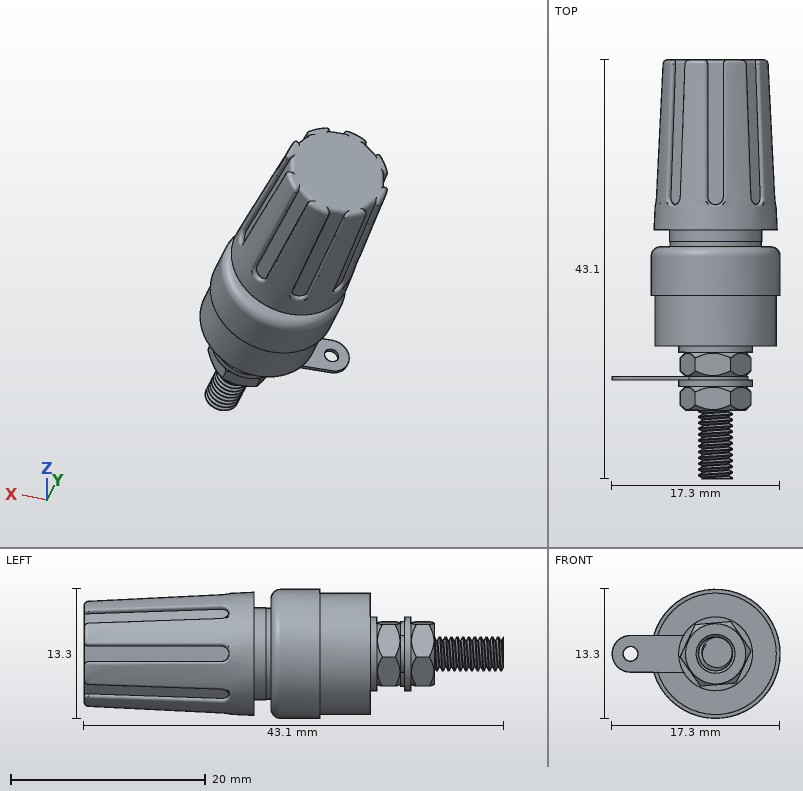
import cadquery as cq
import math


total_length = 43.13
total_width = 17.3
knob_length = 17.5
neck_length = 1.2
shoulder_length = 0.53
housing_length = 5.04
insulator_length = 5.2
washer_thickness = 0.65
nut_height = 2.45
lug_thickness = 0.4

housing_diameter = 13.3
housing_fillet = 1.0
insulator_diameter = 12.5
neck_diameter = 9.5
shoulder_diameter = 9.4
washer_diameter = 7.6

knob_base_diameter = 12.7
knob_end_diameter = 11.0
knob_end_fillet = 0.45
flute_count = 8
flute_width = 1.6
flute_depth = 0.5
flute_rim_fillet = 0.25
flute_center_from_end = 14.1
flute_overrun = 1.0

nut_across_flats = 6.35
nut_face_diameter = 6.2
nut_rotation = 5
nut_chamfer_angle = 45
nut_countersink_diameter = 4.0

lug_ring_diameter = 6.7
lug_tail_width = 3.8
lug_reach = total_width - housing_diameter / 2
lug_hole_diameter = 1.5

stud_diameter = 3.5
thread_root_diameter = 2.73
thread_pitch = 0.6
thread_crest_width = 0.1
thread_root_width = 0.1
thread_cut_clearance = 0.1
thread_start_angle = -45

housing_top = housing_length
shoulder_top = housing_top + shoulder_length
knob_base = shoulder_top + neck_length
knob_end = knob_base + knob_length
insulator_end = -insulator_length
first_nut_top = insulator_end - washer_thickness
lug_top = first_nut_top - nut_height
second_washer_top = lug_top - lug_thickness
second_nut_top = second_washer_top - washer_thickness
thread_start = second_nut_top - nut_height
stud_end = knob_end - total_length


def disc(diameter, y_low, y_high):
    """Solid cylinder on the Y axis."""
    plane = cq.Workplane("XZ", origin=(0, y_low, 0))
    return plane.circle(diameter / 2).extrude(y_low - y_high)


def ring(diameter, y_low, y_high):
    """Cylinder on the Y axis with a bore that fits the stud."""
    return disc(diameter, y_low, y_high).cut(disc(stud_diameter, y_low, y_high))


def make_flute_cutter():
    """Round-bottomed slot with straight walls, sunk into the cone on its +Z side."""
    taper_per_length = (knob_base_diameter - knob_end_diameter) / 2 / knob_length
    center_y = knob_end - flute_center_from_end
    center_radius = knob_end_diameter / 2 + taper_per_length * flute_center_from_end
    surface = cq.Plane(
        origin=(0, center_y, center_radius),
        xDir=(1, 0, 0),
        normal=(0, taper_per_length, 1),
    )
    half_width = flute_width / 2
    open_end = flute_center_from_end + flute_overrun
    return (
        cq.Workplane(surface)
        .moveTo(-half_width, open_end)
        .lineTo(-half_width, 0)
        .threePointArc((0, -half_width), (half_width, 0))
        .lineTo(half_width, open_end)
        .close()
        .extrude(-flute_depth)
    )


def make_knob():
    """Tapered grip with flutes that run out at its free end, all their rims rounded."""
    knob = (
        cq.Workplane("XY")
        .moveTo(0, knob_base)
        .lineTo(knob_base_diameter / 2, knob_base)
        .lineTo(knob_end_diameter / 2, knob_end)
        .lineTo(0, knob_end)
        .close()
        .revolve(360, (0, 0, 0), (0, 1, 0))
    )
    cutter = make_flute_cutter()
    for index in range(flute_count):
        angle = index * 360 / flute_count
        knob = knob.cut(cutter.rotate((0, 0, 0), (0, 1, 0), angle))
    flute_bottom = knob_end - flute_center_from_end - flute_width / 2
    flute_zone = cq.selectors.BoxSelector(
        (-knob_base_diameter, flute_bottom, -knob_base_diameter),
        (knob_base_diameter, knob_end - knob_end_fillet, knob_base_diameter),
    )
    knob = knob.faces("%CONE").edges(flute_zone).fillet(flute_rim_fillet)
    return knob.faces(">Y").edges().fillet(knob_end_fillet)


def make_collar():
    """Neck under the knob, with a slightly smaller shoulder that sits on the housing."""
    neck = ring(neck_diameter, shoulder_top, knob_base)
    return neck.union(ring(shoulder_diameter, housing_top, shoulder_top))


def make_housing():
    """Upper insulating body with a rounded rim."""
    body = disc(housing_diameter, 0, housing_top).faces(">Y").edges().fillet(housing_fillet)
    return body.cut(disc(stud_diameter, 0, housing_top))


def make_nut(y_top):
    """Hex nut with chamfered corners and a countersink on its lower face."""
    y_low = y_top - nut_height
    corner_radius = nut_across_flats / math.sqrt(3)
    hexagon = (
        cq.Workplane("XZ", origin=(0, y_low, 0))
        .polygon(6, 2 * corner_radius)
        .extrude(-nut_height)
        .rotate((0, 0, 0), (0, 1, 0), -nut_rotation)
    )
    face_radius = nut_face_diameter / 2
    chamfer_width = corner_radius - face_radius
    chamfer_height = chamfer_width * math.tan(math.radians(nut_chamfer_angle))
    envelope = (
        cq.Workplane("XY")
        .moveTo(0, y_low)
        .lineTo(face_radius, y_low)
        .lineTo(corner_radius, y_low + chamfer_height)
        .lineTo(corner_radius, y_top - chamfer_height)
        .lineTo(face_radius, y_top)
        .lineTo(0, y_top)
        .close()
        .revolve(360, (0, 0, 0), (0, 1, 0))
    )
    countersink_depth = (nut_countersink_diameter - stud_diameter) / 2
    nut = hexagon.intersect(envelope).cut(disc(stud_diameter, y_low, y_top))
    bore_edge = nut.faces("<Y").edges(cq.selectors.RadiusNthSelector(0))
    return bore_edge.chamfer(countersink_depth)


def make_lug():
    """Flat ring with a round-ended tail towards -X and a wire hole in the tail."""
    tail_center = lug_tail_width / 2 - lug_reach
    y_low = lug_top - lug_thickness
    plane = cq.Workplane("XZ", origin=(0, y_low, 0))
    tail = plane.center(tail_center / 2, 0).rect(-tail_center, lug_tail_width).extrude(-lug_thickness)
    tail_end = plane.center(tail_center, 0).circle(lug_tail_width / 2).extrude(-lug_thickness)
    wire_hole = plane.center(tail_center, 0).circle(lug_hole_diameter / 2).extrude(-lug_thickness)
    blank = disc(lug_ring_diameter, y_low, lug_top).union(tail).union(tail_end)
    return blank.cut(wire_hole).cut(disc(stud_diameter, y_low, lug_top))


def make_stud():
    """Plain shank inside the stack, with a helical thread on the exposed end."""
    root_radius = thread_root_diameter / 2
    mouth_radius = stud_diameter / 2 + thread_cut_clearance
    root_half = thread_root_width / 2
    crest_to_root = (stud_diameter - thread_root_diameter) / 2
    flank_slope = ((thread_pitch - thread_crest_width) / 2 - root_half) / crest_to_root
    mouth_half = root_half + flank_slope * (mouth_radius - root_radius)
    groove_length = thread_start - stud_end + thread_pitch
    helix = cq.Workplane(obj=cq.Wire.makeHelix(thread_pitch, groove_length, root_radius))
    groove = (
        cq.Workplane("XZ")
        .moveTo(root_radius, -root_half)
        .lineTo(mouth_radius, -mouth_half)
        .lineTo(mouth_radius, mouth_half)
        .lineTo(root_radius, root_half)
        .close()
        .sweep(helix, isFrenet=True)
        .rotate((0, 0, 0), (0, 0, 1), thread_start_angle)
        .rotate((0, 0, 0), (1, 0, 0), -90)
        .translate((0, stud_end - thread_pitch / 2, 0))
    )
    shank = disc(stud_diameter, thread_start, knob_base)
    return disc(stud_diameter, stud_end, thread_start).cut(groove).union(shank)


knob = make_knob()
collar = make_collar()
housing = make_housing()
insulator = ring(insulator_diameter, insulator_end, 0)
stud = make_stud()
washers = [
    ring(washer_diameter, y_top - washer_thickness, y_top)
    for y_top in (insulator_end, second_washer_top)
]
nuts = [make_nut(y_top) for y_top in (first_nut_top, second_nut_top)]
lug = make_lug()

bodies = [knob, collar, housing, insulator, stud, lug, *washers, *nuts]
result = cq.Compound.makeCompound([body.val() for body in bodies])